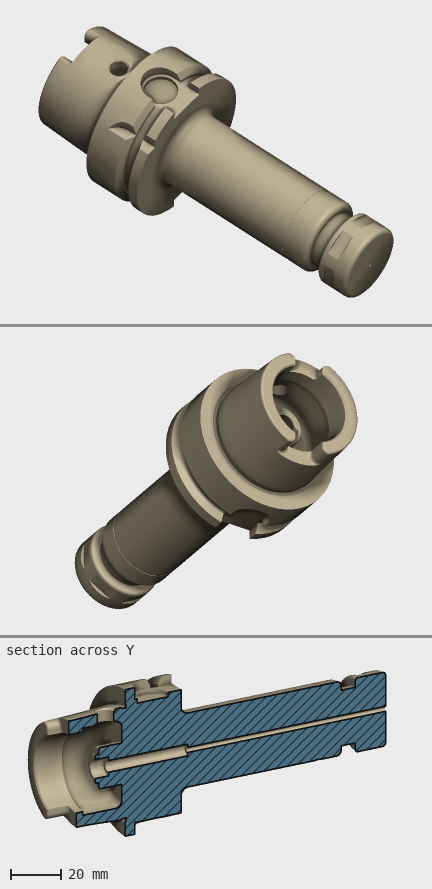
import cadquery as cq
import math


total_length = 152.0
taper_end = 30.0
relief_start = 30.9
flange_start = 31.9
flange_end = 57.9
ring_groove_start = 119.8
body_end = 131.5
nut_start = 137.9

tip_radius = 22.8
taper_radius = 24.2
tip_rounding = 0.9
relief_radius = 23.7
relief_floor_radius = 24.8
relief_outer_radius = 25.5
relief_depth = 0.5

flange_radius = 31.5
groove_radius = 27.4
groove_start = 48.2
groove_end = 51.8
groove_flank_width = 1.7
groove_flank_height = groove_flank_width * math.tan(math.radians(60))

body_radius = 16.0
body_fillet = 3.0
body_end_rounding = 2.3
ring_groove_width = 1.8
ring_groove_depth = 0.2
neck_radius = 12.0
nut_back_rounding = 1.2
nut_front_rounding = 1.8

bore_mouth_radius = 17.0
bore_mouth_chamfer = 0.6
bore_lip = 12.8
chamber_radius = 18.5
chamber_floor = 30.4
chamber_floor_rounding = 2.7
collar_start = 19.9
collar_radius = 9.0
collar_rounding = 1.0
tube_start = 18.2
tube_radius = 6.2
tube_rounding = 0.9

inlet_radius = 4.0
inlet_end = 24.3
drill_radius = 2.5
drill_end = 60.8
through_radius = 0.99

drive_slot_depths = {1: 6.1, -1: 9.5}
drive_slot_half_width = 6.2
drive_slot_flare = 2.9
drive_slot_shoulder = 20.8
drive_slot_rounding = 1.4

access_x = 23.1
access_radius = 3.72
access_mouth_radius = 4.7
access_surface = 24.0

flange_slot_x = 44.7
flange_slot_radius = 8.0
flange_slot_floor = 26.5
chip_pocket_radius = 7.0
chip_pocket_depth = 1.8
notch_wall = 19.9

flat_count = 6
flat_start = 140.3
flat_end = 145.5
flat_depth = 0.99
flat_distance = body_radius - flat_depth
flat_runout = 0.6
flat_cut_height = 2.3


def cylinder_x(radius, start, end):
    return cq.Workplane("YZ", origin=(start, 0, 0)).circle(radius).extrude(end - start)


def turned_body():
    """Outer shape, as one revolved profile."""
    ring_groove_end = ring_groove_start + ring_groove_width
    ring_groove_radius = body_radius - ring_groove_depth
    flank_radius = flange_radius - groove_flank_height
    profile = (
        cq.Workplane("XY")
        .lineTo(0, tip_radius)
        .lineTo(taper_end, taper_radius)
        .lineTo(relief_start, relief_radius)
        .lineTo(flange_start + relief_depth, relief_radius)
        .lineTo(flange_start + relief_depth, relief_floor_radius)
        .lineTo(flange_start, relief_outer_radius)
        .lineTo(flange_start, flange_radius)
        .lineTo(groove_start - groove_flank_width, flange_radius)
        .lineTo(groove_start, flank_radius)
        .lineTo(groove_start, groove_radius)
        .lineTo(groove_end, groove_radius)
        .lineTo(groove_end, flank_radius)
        .lineTo(groove_end + groove_flank_width, flange_radius)
        .lineTo(flange_end, flange_radius)
        .lineTo(flange_end, body_radius + body_fillet)
        .radiusArc((flange_end + body_fillet, body_radius), -body_fillet)
        .lineTo(ring_groove_start, body_radius)
        .lineTo(ring_groove_start, ring_groove_radius)
        .lineTo(ring_groove_end, ring_groove_radius)
        .lineTo(ring_groove_end, body_radius)
        .lineTo(body_end - body_end_rounding, body_radius)
        .radiusArc((body_end, body_radius - body_end_rounding), body_end_rounding)
        .lineTo(body_end, neck_radius)
        .lineTo(nut_start, neck_radius)
        .lineTo(nut_start, body_radius - nut_back_rounding)
        .radiusArc((nut_start + nut_back_rounding, body_radius), nut_back_rounding)
        .lineTo(total_length - nut_front_rounding, body_radius)
        .radiusArc((total_length, body_radius - nut_front_rounding), nut_front_rounding)
        .lineTo(total_length, 0)
        .close()
    )
    return profile.revolve(360, (0, 0, 0), (1, 0, 0))


def bore():
    """Hollow of the taper, leaving the collared coolant tube standing on its floor."""
    collar_face_radius = collar_radius - collar_rounding
    tube_face_radius = tube_radius - tube_rounding
    floor_edge_radius = chamber_radius - chamber_floor_rounding
    return (
        cq.Workplane("XY")
        .lineTo(0, bore_mouth_radius + bore_mouth_chamfer)
        .lineTo(bore_mouth_chamfer, bore_mouth_radius)
        .lineTo(bore_lip, bore_mouth_radius)
        .lineTo(bore_lip, chamber_radius)
        .lineTo(chamber_floor - chamber_floor_rounding, chamber_radius)
        .radiusArc((chamber_floor, floor_edge_radius), chamber_floor_rounding)
        .lineTo(chamber_floor, collar_radius)
        .lineTo(collar_start + collar_rounding, collar_radius)
        .radiusArc((collar_start, collar_face_radius), -collar_rounding)
        .lineTo(collar_start, tube_radius)
        .lineTo(tube_start + tube_rounding, tube_radius)
        .radiusArc((tube_start, tube_face_radius), -tube_rounding)
        .lineTo(tube_start, 0)
        .close()
        .revolve(360, (0, 0, 0), (1, 0, 0))
    )


def coolant_passage():
    """Stepped hole from the tube end right through the front of the nut."""
    inlet = cylinder_x(inlet_radius, tube_start, inlet_end)
    drill = cylinder_x(drill_radius, inlet_end, drill_end)
    return inlet.union(drill).union(cylinder_x(through_radius, drill_end, total_length))


def drive_slot(side, depth):
    """Slot across the tip wall; its sides flare outward into a flat shoulder."""
    half = drive_slot_half_width
    flare_half = half + drive_slot_flare
    flare_start = drive_slot_shoulder - drive_slot_flare
    outer = flange_radius
    slot = (
        cq.Workplane("YZ")
        .moveTo(-half, 0)
        .lineTo(-half, flare_start)
        .radiusArc((-flare_half, drive_slot_shoulder), -drive_slot_flare)
        .lineTo(-outer, drive_slot_shoulder)
        .lineTo(-outer, outer)
        .lineTo(outer, outer)
        .lineTo(outer, drive_slot_shoulder)
        .lineTo(flare_half, drive_slot_shoulder)
        .radiusArc((half, flare_start), -drive_slot_flare)
        .lineTo(half, 0)
        .close()
        .extrude(depth)
        .faces(">X")
        .edges()
        .fillet(drive_slot_rounding)
    )
    return slot if side > 0 else slot.mirror("XY")


def access_hole():
    """Radial hole through the upper wall with a 45 degree countersink."""
    bottom = (collar_radius + chamber_radius) / 2
    sink_height = 2 * access_mouth_radius
    sink_tip = cq.Vector(access_x, 0, access_surface - access_mouth_radius)
    hole = (
        cq.Workplane("XY", origin=(access_x, 0, bottom))
        .circle(access_radius)
        .extrude(access_surface + access_radius - bottom)
    )
    sink = cq.Solid.makeCone(0, sink_height, sink_height, sink_tip, cq.Vector(0, 0, 1))
    keep = (
        cq.Workplane("XY", origin=(access_x, 0, bottom))
        .circle(access_mouth_radius + access_radius)
        .extrude(access_surface + access_radius - bottom)
    )
    return hole.union(cq.Workplane(sink).intersect(keep))


def round_ended_slot(y_center, floor):
    """Slot cut down to a level floor, open at the back of the flange."""
    run = flange_end - flange_slot_x
    height = flange_radius - floor
    base = cq.Workplane("XY", origin=(flange_slot_x, y_center, floor))
    end = base.circle(flange_slot_radius).extrude(height)
    straight = base.center(run / 2, 0).rect(run, 2 * flange_slot_radius).extrude(height)
    return end.union(straight)


def chip_pocket():
    floor = flange_slot_floor - chip_pocket_depth
    return (
        cq.Workplane("XY", origin=(flange_slot_x, 0, floor))
        .circle(chip_pocket_radius)
        .extrude(chip_pocket_depth)
    )


def wrench_flat(angle):
    """Flat on the nut whose front end wall leans forward."""
    run = flat_runout * flat_cut_height / flat_depth
    return (
        cq.Workplane("XZ")
        .moveTo(flat_start, flat_distance)
        .lineTo(flat_end, flat_distance)
        .lineTo(flat_end + run, flat_distance + flat_cut_height)
        .lineTo(flat_start, flat_distance + flat_cut_height)
        .close()
        .extrude(body_radius, both=True)
        .rotate((0, 0, 0), (1, 0, 0), angle)
    )


holder = turned_body()
for side, depth in drive_slot_depths.items():
    holder = holder.cut(drive_slot(side, depth))
holder = holder.faces("<X").edges().fillet(tip_rounding)
holder = holder.cut(bore()).cut(coolant_passage())
holder = holder.cut(access_hole())

upper_slot = round_ended_slot(0, flange_slot_floor)
holder = holder.cut(upper_slot).cut(upper_slot.mirror("XY")).cut(chip_pocket())
holder = holder.cut(round_ended_slot(-notch_wall - flange_slot_radius, notch_wall))

for index in range(flat_count):
    holder = holder.cut(wrench_flat(90 + index * 360 / flat_count))

result = holder